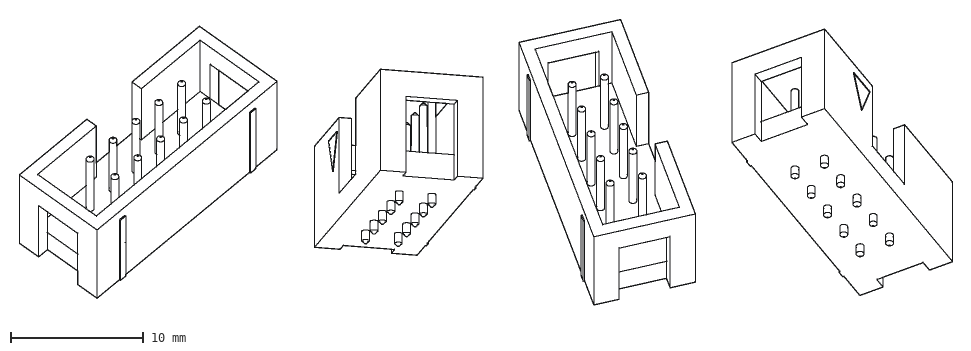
import cadquery as cq

length = 20.0
width = 8.0
height = 8.0
wall = 0.98
floor_top = 2.0
inner_width = width - 2 * wall
inner_length = length - 2 * wall

key_notch_width = 5.0
end_slot_width = 4.0
end_slot_top = 6.0

pin_rows = 2
pins_per_row = 5
pin_pitch = 2.55
pin_diameter = 0.6
pin_tip_chamfer = 0.25
pin_bottom = -1.0
pin_top = height

mark_top = 7.05
triangle_relief = 0.05
triangle_width = 2.52
triangle_height = 2.8
triangle_y = 4.25
rib_relief = 0.1
rib_width = 0.6
rib_spacing = 14.45


def block(size_x, size_y, bottom, top):
    """Box centred in X and Y, between two heights."""
    box = cq.Workplane("XY").box(size_x, size_y, top - bottom, centered=(True, True, False))
    return box.translate((0, 0, bottom))


def housing():
    body = block(width, length, 0, height)
    body = body.cut(block(inner_width, inner_length, floor_top, height))

    notch = block(wall, key_notch_width, floor_top, height)
    body = body.cut(notch.translate((-(width - wall) / 2, 0, 0)))

    for side in (-1, 1):
        slot = block(end_slot_width, wall, 0, end_slot_top)
        body = body.cut(slot.translate((0, side * (length - wall) / 2, 0)))
    return body


def pin():
    """Round pin with a chamfered tip at both ends."""
    shaft = cq.Workplane("XY").workplane(offset=pin_bottom)
    shaft = shaft.circle(pin_diameter / 2).extrude(pin_top - pin_bottom)
    return shaft.faces("<Z or >Z").chamfer(pin_tip_chamfer)


def pin_one_mark():
    """Raised triangle on the -X face, pointing down."""
    outline = [
        (triangle_y - triangle_width / 2, mark_top),
        (triangle_y + triangle_width / 2, mark_top),
        (triangle_y, mark_top - triangle_height),
    ]
    plane = cq.Workplane("YZ").workplane(offset=-width / 2)
    return plane.polyline(outline).close().extrude(-triangle_relief)


def side_rib(y):
    """Thin upright rib on the +X face."""
    rib = block(rib_relief, rib_width, 0, mark_top)
    return rib.translate(((width + rib_relief) / 2, y, 0))


result = housing()
for row in range(pin_rows):
    pin_x = (row - (pin_rows - 1) / 2) * pin_pitch
    for column in range(pins_per_row):
        pin_y = (column - (pins_per_row - 1) / 2) * pin_pitch
        result = result.union(pin().translate((pin_x, pin_y, 0)))

result = result.union(pin_one_mark())
for rib_side in (-1, 1):
    result = result.union(side_rib(rib_side * rib_spacing / 2))